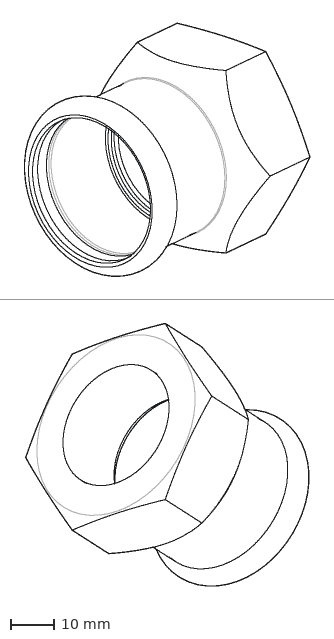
import cadquery as cq
import math

length = 49.0
hex_corner_diameter = 53.1
hex_corner_radius = hex_corner_diameter / 2

sleeve_radius = 38.4 / 2
shoulder_root_y = 26.0
shoulder_corner_y = shoulder_root_y + hex_corner_radius - sleeve_radius
shoulder_fillet = 0.55

back_chamfer_angle = math.radians(15)
back_face_radius = 22.6
back_corner_y = length - (hex_corner_radius - back_face_radius) * math.tan(back_chamfer_angle)

bead_outer_radius = 21.8
bead_width = 7.6
bead_round = bead_width / 2
bead_center_radius = bead_outer_radius - bead_round
bead_center_y = bead_round

mouth_radius = 18.55
mouth_chamfer_depth = 0.4
lip_radius = 35.4 / 2
land_radius = 35.0 / 2
socket_radius = 17.3
through_radius = 30.3 / 2
stop_inner_radius = 16.5
seat_radius = 32.0 / 2
groove_round = 1.55
land_end_y = 6.1
land_taper_end_y = 6.75
stop_y = 26.55
seat_taper_depth = 0.55
seat_depth = 1.05


def arc_offset(round_radius, radial_offset):
    """Axial distance from a circle's center to its point at a given radial offset."""
    return math.sqrt(round_radius**2 - radial_offset**2)


def revolve_profile(profile):
    """Turn a (radius, Y) profile around the Y axis."""
    return profile.close().revolve(360, (0, 0, 0), (0, 1, 0))


def make_turned_body():
    profile = (
        cq.Workplane("XY")
        .moveTo(0, bead_center_y)
        .lineTo(sleeve_radius, bead_center_y)
        .lineTo(sleeve_radius, shoulder_root_y)
        .lineTo(hex_corner_radius, shoulder_corner_y)
        .lineTo(hex_corner_radius, back_corner_y)
        .lineTo(back_face_radius, length)
        .lineTo(0, length)
    )
    body = revolve_profile(profile)
    shoulder_edge = cq.selectors.NearestToPointSelector((0, shoulder_root_y, sleeve_radius))
    return body.edges("%CIRCLE").edges(shoulder_edge).fillet(shoulder_fillet)


def make_hexagon():
    """Full-length hexagonal prism that trims the turned body to its six flats."""
    return cq.Workplane("XZ").polygon(6, hex_corner_diameter).extrude(-length)


def make_bead():
    back_y = bead_center_y + arc_offset(bead_round, sleeve_radius - bead_center_radius)
    profile = (
        cq.Workplane("XY")
        .lineTo(mouth_radius, 0)
        .threePointArc((bead_outer_radius, bead_center_y), (sleeve_radius, back_y))
        .lineTo(0, back_y)
    )
    return revolve_profile(profile)


def make_bore():
    groove_start_y = bead_center_y - arc_offset(groove_round, lip_radius - bead_center_radius)
    groove_end_y = bead_center_y + arc_offset(groove_round, land_radius - bead_center_radius)
    profile = (
        cq.Workplane("XY")
        .lineTo(mouth_radius, 0)
        .lineTo(lip_radius, mouth_chamfer_depth)
        .lineTo(lip_radius, groove_start_y)
        .threePointArc(
            (bead_center_radius + groove_round, bead_center_y),
            (land_radius, groove_end_y),
        )
        .lineTo(land_radius, land_end_y)
        .lineTo(socket_radius, land_taper_end_y)
        .lineTo(socket_radius, stop_y)
        .lineTo(stop_inner_radius, stop_y)
        .lineTo(seat_radius, stop_y + seat_taper_depth)
        .lineTo(seat_radius, stop_y + seat_taper_depth + seat_depth)
        .lineTo(through_radius, stop_y + 2 * seat_taper_depth + seat_depth)
        .lineTo(through_radius, length)
        .lineTo(0, length)
    )
    return revolve_profile(profile)


hexagonal_body = make_turned_body().intersect(make_hexagon())
result = hexagonal_body.union(make_bead()).cut(make_bore())